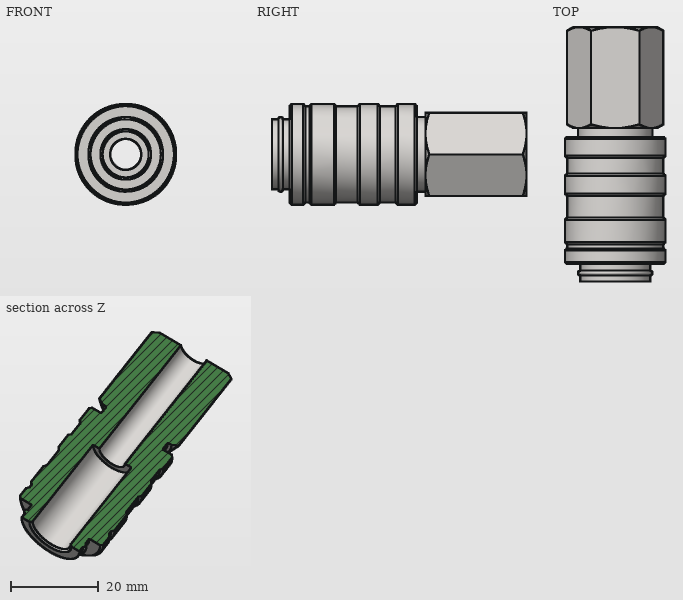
import cadquery as cq
import math

length = 58.0

sleeve_front = 4.0
sleeve_rear = 33.0
collar_diameter = 23.0
edge_chamfer = 0.5
sleeve_diameter = collar_diameter - 2 * edge_chamfer
collar_spans = [
    (sleeve_front, 7.6),
    (8.5, 14.6),
    (19.55, 24.6),
    (28.2, sleeve_rear),
]

nose_diameter = 16.0
ring_center = 2.0
ring_radius = 0.5
neck_diameter = nose_diameter + 2 * ring_radius

hex_front = 35.0
hex_flats = 19.0
hex_corners = hex_flats / math.cos(math.radians(30))
hex_chamfer_angle = 30

mouth_diameter = 10.5
mouth_depth = 24.95
mouth_chamfer = 0.5
passage_diameter = 7.0


def cylinder(diameter, start, end):
    """Solid cylinder on the Y axis between two stations."""
    plane = cq.Workplane("XZ", origin=(0, start, 0))
    return plane.circle(diameter / 2).extrude(start - end)


def collar(start, end):
    """Raised band with both outer edges chamfered."""
    return cylinder(collar_diameter, start, end).edges().chamfer(edge_chamfer)


def nose_ring():
    """Round bead centred on the surface of the nose."""
    section = cq.Workplane("XY").center(nose_diameter / 2, ring_center).circle(ring_radius)
    axis_start = (-nose_diameter / 2, 0)
    axis_end = (-nose_diameter / 2, 1)
    return section.revolve(360, axis_start, axis_end)


def hexagon():
    """Hexagonal prism whose corners are turned down to a cone at both ends."""
    prism = (
        cq.Workplane("XZ", origin=(0, hex_front, 0))
        .polygon(6, hex_corners)
        .extrude(hex_front - length)
    )
    flat_radius = hex_flats / 2
    corner_radius = hex_corners / 2
    cone_depth = (corner_radius - flat_radius) * math.tan(math.radians(hex_chamfer_angle))
    turned_envelope = (
        cq.Workplane("XY")
        .moveTo(0, hex_front)
        .lineTo(flat_radius, hex_front)
        .lineTo(corner_radius, hex_front + cone_depth)
        .lineTo(corner_radius, length - cone_depth)
        .lineTo(flat_radius, length)
        .lineTo(0, length)
        .close()
        .revolve(360, (0, 0), (0, 1))
    )
    return prism.intersect(turned_envelope)


def passage():
    """Wide front bore with a chamfered mouth, then a narrower through hole."""
    mouth_radius = mouth_diameter / 2
    passage_radius = passage_diameter / 2
    return (
        cq.Workplane("XY")
        .lineTo(mouth_radius + mouth_chamfer, 0)
        .lineTo(mouth_radius, mouth_chamfer)
        .lineTo(mouth_radius, mouth_depth)
        .lineTo(passage_radius, mouth_depth)
        .lineTo(passage_radius, length)
        .lineTo(0, length)
        .close()
        .revolve(360, (0, 0), (0, 1))
    )


body = cylinder(nose_diameter, 0, sleeve_front)
body = body.union(nose_ring())
body = body.union(cylinder(sleeve_diameter, sleeve_front + edge_chamfer, sleeve_rear - edge_chamfer))
for start, end in collar_spans:
    body = body.union(collar(start, end))
body = body.union(cylinder(neck_diameter, sleeve_rear, hex_front))
body = body.union(hexagon())

result = body.cut(passage())